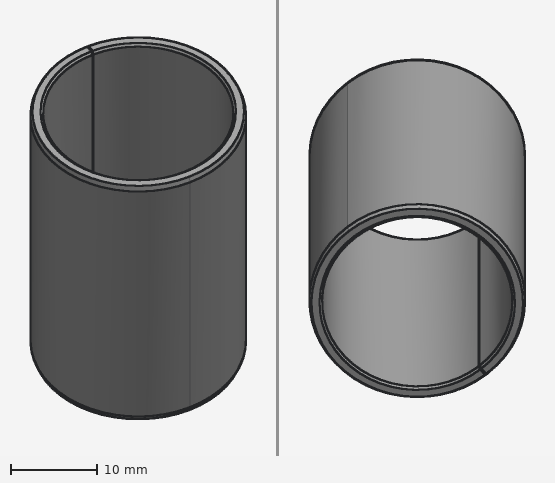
import cadquery as cq

length = 38.0
outer_diameter = 25.0
wall = 1.5
outer_chamfer_height = 0.7
outer_chamfer_depth = 0.247
inner_chamfer = 0.3
slit_width = 0.15

outer_radius = outer_diameter / 2
inner_radius = outer_radius - wall
half_length = length / 2


def sleeve():
    """Revolve the wall section, with both ends chamfered inside and outside."""
    section = (
        cq.Workplane("XZ")
        .moveTo(inner_radius + inner_chamfer, -half_length)
        .lineTo(outer_radius - outer_chamfer_depth, -half_length)
        .lineTo(outer_radius, -half_length + outer_chamfer_height)
        .lineTo(outer_radius, half_length - outer_chamfer_height)
        .lineTo(outer_radius - outer_chamfer_depth, half_length)
        .lineTo(inner_radius + inner_chamfer, half_length)
        .lineTo(inner_radius, half_length - inner_chamfer)
        .lineTo(inner_radius, -half_length + inner_chamfer)
        .close()
    )
    return section.revolve(360, (0, 0, 0), (0, 1, 0))


def slit():
    """Full-length cutter through the -X wall, with one slit face on the Y = 0 plane."""
    cutter = cq.Workplane("XY").box(outer_radius, slit_width, length)
    return cutter.translate((-outer_radius, slit_width / 2, 0))


result = sleeve().cut(slit())